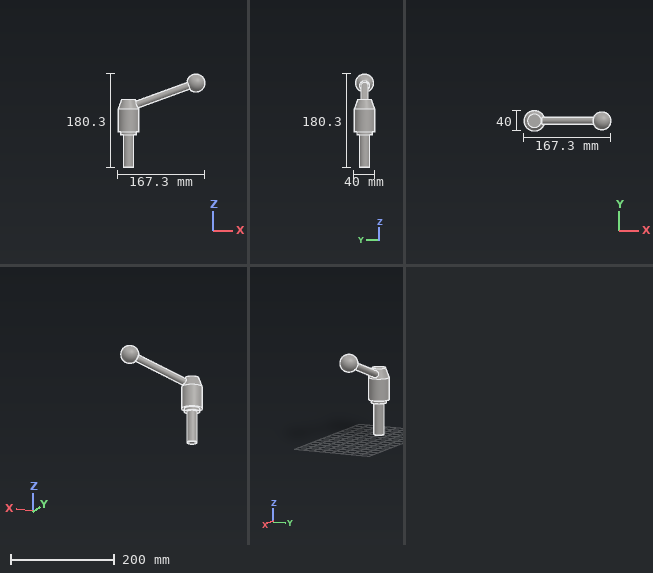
import cadquery as cq
import math

OVERALL_LENGTH = 167.31
OVERALL_HEIGHT = 180.32

STUD_DIAMETER = 20.0
STUD_LENGTH = 63.0
STUD_CHAMFER = 1.2

COLLAR_DIAMETER = 30.0
COLLAR_HEIGHT = 6.0
BODY_DIAMETER = 40.0
BODY_HEIGHT = 43.5
HEAD_HEIGHT = 19.0

LEVER_ANGLE = 20.0
LEVER_DIAMETER = 14.0
BALL_DIAMETER = 35.0
BALL_FLAT_DIAMETER = 19.5

body_radius = BODY_DIAMETER / 2
ball_radius = BALL_DIAMETER / 2
slope = math.tan(math.radians(LEVER_ANGLE))
head_top_radius = body_radius - HEAD_HEIGHT * slope

ball_x = OVERALL_LENGTH - body_radius - ball_radius
ball_z = OVERALL_HEIGHT - STUD_LENGTH - ball_radius
lever_length = ball_x / math.cos(math.radians(LEVER_ANGLE))
lever_start_z = ball_z - ball_x * slope


def make_stud():
    """Stud below the seating face, chamfered at its free end."""
    stud = cq.Workplane("XY").circle(STUD_DIAMETER / 2).extrude(-STUD_LENGTH)
    return stud.faces("<Z").chamfer(STUD_CHAMFER)


def make_hub():
    """Collar, body and tapered head, revolved about the stud axis."""
    body_top = COLLAR_HEIGHT + BODY_HEIGHT
    head_top = body_top + HEAD_HEIGHT
    profile = [
        (0, 0),
        (COLLAR_DIAMETER / 2, 0),
        (COLLAR_DIAMETER / 2, COLLAR_HEIGHT),
        (body_radius, COLLAR_HEIGHT),
        (body_radius, body_top),
        (head_top_radius, head_top),
        (0, head_top),
    ]
    return cq.Workplane("XZ").polyline(profile).close().revolve(360, (0, 0), (0, 1))


def make_lever():
    """Round arm and ball knob, revolved about the inclined lever axis."""
    flat_radius = BALL_FLAT_DIAMETER / 2
    arm_radius = LEVER_DIAMETER / 2
    flat_distance = lever_length - math.sqrt(ball_radius**2 - flat_radius**2)
    lever_plane = cq.Plane(origin=(0, 0, lever_start_z), xDir=(1, 0, slope), normal=(0, -1, 0))
    return (
        cq.Workplane(lever_plane)
        .lineTo(0, arm_radius)
        .lineTo(flat_distance, arm_radius)
        .lineTo(flat_distance, flat_radius)
        .threePointArc((lever_length, ball_radius), (lever_length + ball_radius, 0))
        .close()
        .revolve(360, (0, 0), (1, 0))
    )


result = make_hub().union(make_stud()).union(make_lever())